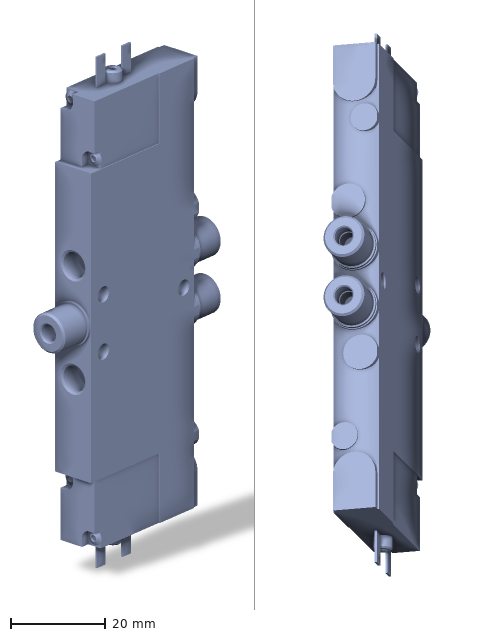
import cadquery as cq

width = 10.1
back_face = 33.5
raised_face = 35.0
housing_length = 46.1
body_length = 103.0
overall_length = 117.0
housing_end = housing_length / 2
pilot_end = body_length / 2
side = width / 2

mount_hole_diameter = 3.6
mount_hole_z = 6.5
front_mount_hole_y = 4.0
back_mount_hole_y = 30.1
port_z = 13.0
port_diameter = 6.0
port_mouth_diameter = 7.0
port_mouth_depth = 0.4
port_depth = 5.0

shoulder_z = 35.5
coil_front = 1.4
coil_back = 22.2
coil_inset = 0.2
notch_width = 3.7
notch_height = 4.1
notch_depth = 2.0
notch_radius = notch_height / 2
head_offset = 1.8
head_diameter = 3.5
head_height = 0.6
head_socket_diameter = 1.5
head_socket_depth = 0.6
terminal_thickness = 0.5
terminal_spans = [(7.5, 10.3), (15.8, 18.5)]

pad_inset = 0.4
pad_radius = side - pad_inset
pad_round_z = 43.5

button_y = 12.9
button_diameter = 4.1
button_height = 2.8
button_chamfer = 0.4
button_socket_diameter = 1.5
button_socket_mouth_diameter = 2.0
button_socket_mouth_angle = 90
button_socket_depth = 1.2

fitting_length = 8.2
collar_diameter = 9.8
collar_height = 0.7
barrel_diameter = 9.0
barrel_chamfer = 0.5
bore_diameter = 4.0
stop_diameter = 3.5
stop_depth = 3.5
bore_mouth_diameter = 4.6
bore_depth = 7.0
back_fitting_z = 6.5

fitting_boss_diameter = 10.3
large_boss_diameter = 7.6
large_boss_x = 1.4
large_boss_z = 16.8
small_boss_diameter = 6.0
small_boss_x = -2.2
small_boss_z = 35.1

strip_face = 34.6
strip_half_length = 41.5


def block(x_range, y_range, z_range):
    """Box between two limits along each axis."""
    sizes = [high - low for low, high in (x_range, y_range, z_range)]
    start = (x_range[0], y_range[0], z_range[0])
    return cq.Workplane("XY").box(*sizes, centered=False).translate(start)


def disc_along_y(diameter, x, z, y_start, y_end):
    """Cylinder parallel to Y."""
    solid = cq.Solid.makeCylinder(
        diameter / 2, y_end - y_start, cq.Vector(x, y_start, z), cq.Vector(0, 1, 0)
    )
    return cq.Workplane(obj=solid)


def cone_along_y(start_diameter, end_diameter, x, z, y_start, y_end):
    """Truncated cone parallel to Y."""
    solid = cq.Solid.makeCone(
        start_diameter / 2, end_diameter / 2, y_end - y_start,
        cq.Vector(x, y_start, z), cq.Vector(0, 1, 0),
    )
    return cq.Workplane(obj=solid)


def half_turn(body):
    """Rotate about Y, which carries the upper end of the valve to the lower end."""
    return body.rotate((0, 0, 0), (0, 1, 0), 180)


def make_boss(diameter, x, z):
    """Round boss on the back, trimmed where it would pass a side face."""
    side_limits = block((-side, side), (back_face, raised_face), (-pilot_end, pilot_end))
    return disc_along_y(diameter, x, z, back_face, raised_face).intersect(side_limits)


def upper_housing_bosses():
    """One fitting boss and one large boss, both in the upper half of the housing."""
    return [
        make_boss(fitting_boss_diameter, 0, back_fitting_z),
        make_boss(large_boss_diameter, large_boss_x, large_boss_z),
    ]


def upper_pilot_boss():
    """The small boss on the upper pilot."""
    return make_boss(small_boss_diameter, small_boss_x, small_boss_z)


def make_housing():
    """Middle block with through mounting holes, front ports and back bosses."""
    body = block((-side, side), (0, back_face), (-housing_end, housing_end))
    hole_places = [
        (front_mount_hole_y, mount_hole_z),
        (front_mount_hole_y, -mount_hole_z),
        (back_mount_hole_y, 0),
    ]
    mount_holes = (
        cq.Workplane("YZ", origin=(-side, 0, 0))
        .pushPoints(hole_places)
        .circle(mount_hole_diameter / 2)
        .extrude(width)
    )
    body = body.cut(mount_holes)
    for z in (port_z, -port_z):
        body = body.cut(disc_along_y(port_diameter, 0, z, 0, port_depth))
        body = body.cut(
            cone_along_y(port_mouth_diameter, port_diameter, 0, z, 0, port_mouth_depth)
        )
    for boss in upper_housing_bosses():
        body = body.union(boss).union(half_turn(boss))
    return body


def make_pad():
    """Raised pad on the back of the upper pilot, with a rounded inner end."""
    straight = block((-pad_radius, pad_radius), (back_face, raised_face), (pad_round_z, pilot_end))
    return straight.union(disc_along_y(2 * pad_radius, 0, pad_round_z, back_face, raised_face))


def make_notch():
    """Screw recess open to the -X side and the upper end, with one rounded corner."""
    notch = block(
        (-side, -side + notch_width),
        (coil_front, coil_front + notch_depth),
        (pilot_end - notch_height, pilot_end),
    )
    return notch.edges("|Y").edges(">X").edges("<Z").fillet(notch_radius)


def make_screw_head():
    """Conical head, rising to the rim of its socket, on the floor of the notch."""
    x = -side + head_offset
    z = pilot_end - notch_radius
    floor = coil_front + notch_depth
    top = floor - head_height
    head = cone_along_y(head_socket_diameter, head_diameter, x, z, top, floor)
    return head.cut(disc_along_y(head_socket_diameter, x, z, top, top + head_socket_depth))


def make_pilot():
    """Upper pilot: valve end, coil, screw heads, terminals, button, boss and pad."""
    coil_side = side - coil_inset
    body = block((-side, side), (0, back_face), (housing_end, shoulder_z))
    body = body.union(block((-side, side), (coil_back, back_face), (housing_end, pilot_end)))
    body = body.union(
        block((-coil_side, coil_side), (coil_front, coil_back), (shoulder_z, pilot_end))
    )

    coil_middle = (0, 0, (shoulder_z + pilot_end) / 2)
    axis_end = (0, 1, coil_middle[2])
    for angle in (0, 180):
        body = body.cut(make_notch().rotate(coil_middle, axis_end, angle))
        body = body.union(make_screw_head().rotate(coil_middle, axis_end, angle))

    half_thickness = terminal_thickness / 2
    for span in terminal_spans:
        body = body.union(
            block((-half_thickness, half_thickness), span, (pilot_end, overall_length / 2))
        )
    return body.union(upper_pilot_boss()).union(make_pad()).union(make_button())


def make_button():
    """Manual override button on the upper end."""
    return (
        cq.Workplane("XY", origin=(0, button_y, pilot_end))
        .circle(button_diameter / 2)
        .extrude(button_height)
        .faces(">Z").chamfer(button_chamfer)
        .faces(">Z").workplane()
        .cskHole(
            button_socket_diameter,
            button_socket_mouth_diameter,
            button_socket_mouth_angle,
            button_socket_depth,
        )
    )


def make_fitting():
    """Push-in fitting standing on Y = 0 and pointing along +Y."""
    body = disc_along_y(barrel_diameter, 0, 0, 0, fitting_length).faces(">Y").chamfer(barrel_chamfer)
    body = body.union(disc_along_y(collar_diameter, 0, 0, 0, collar_height))
    body = body.cut(
        disc_along_y(stop_diameter, 0, 0, fitting_length - bore_depth, fitting_length)
    )
    body = body.cut(
        disc_along_y(bore_diameter, 0, 0, fitting_length - stop_depth, fitting_length)
    )
    mouth_depth = (bore_mouth_diameter - bore_diameter) / 2
    return body.cut(
        cone_along_y(
            bore_diameter, bore_mouth_diameter, 0, 0, fitting_length - mouth_depth, fitting_length
        )
    )


def make_strips():
    """Domed strips that fill the back between the bosses and the pads."""
    dome = (
        cq.Workplane("XY", origin=(0, 0, -strip_half_length))
        .moveTo(-side, back_face)
        .lineTo(side, back_face)
        .threePointArc((0, strip_face), (-side, back_face))
        .close()
        .extrude(2 * strip_half_length)
    )
    for raised in (make_pad(), upper_pilot_boss(), *upper_housing_bosses()):
        dome = dome.cut(raised).cut(half_turn(raised))
    return dome.solids().vals()


housing = make_housing()
pilots = [make_pilot(), half_turn(make_pilot())]
front_fitting = make_fitting().rotate((0, 0, 0), (0, 0, 1), 180)
back_fittings = [
    make_fitting().translate((0, raised_face, z)) for z in (back_fitting_z, -back_fitting_z)
]
strips = make_strips()

bodies = [housing, *pilots, front_fitting, *back_fittings]
result = cq.Compound.makeCompound([body.val() for body in bodies] + strips)